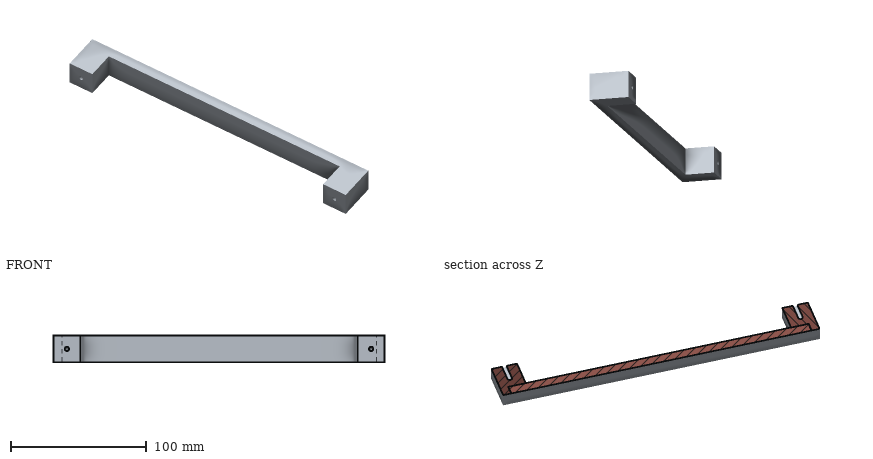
import cadquery as cq
import math

length = 244.0
depth = 30.0
height = 20.0

foot_width = 20.0
end_wall = 6.0
hole_diameter = 3.2
hole_radius = hole_diameter / 2
hole_depth = 14.6
drill_point_angle = 118.0
tip_depth = hole_radius / math.tan(math.radians(drill_point_angle / 2))

bar_thickness = 8.0
bar_length = length - 2 * end_wall

front_y = -depth / 2
back_y = depth / 2
foot_center_x = (length - foot_width) / 2


def make_bar():
    """Flat bar spanning from one end wall to the other."""
    return cq.Workplane("XY").box(bar_length, bar_thickness, height).translate(
        (0, back_y - bar_thickness / 2, 0)
    )


def make_screw_hole():
    """Blind drilled hole with a conical end, running along +Y from the origin."""
    profile = (
        cq.Workplane("XY")
        .lineTo(hole_radius, 0)
        .lineTo(hole_radius, hole_depth)
        .lineTo(0, hole_depth + tip_depth)
        .close()
    )
    return profile.revolve(360, (0, 0, 0), (0, 1, 0))


def make_foot(side):
    """Foot at the -X (side = -1) or +X (side = 1) end."""
    block = cq.Workplane("XY").box(foot_width, depth, height).translate((side * foot_center_x, 0, 0))
    notched = block.cut(make_bar())
    return notched.cut(make_screw_hole().translate((side * foot_center_x, front_y, 0)))


bar = make_bar()
feet = [make_foot(side) for side in (-1, 1)]

result = cq.Compound.makeCompound([bar.val(), *[foot.val() for foot in feet]])